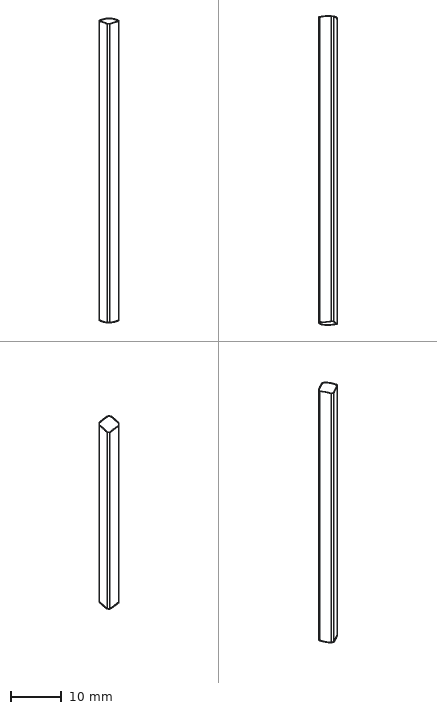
import cadquery as cq

length = 61.7
width = 3.15
corner_diameter = 3.95
end_face_diameter = 2.5
crown_radius = 2.0

bar = cq.Workplane("XY").rect(width, width).extrude(length / 2, both=True)

corner_radius = corner_diameter / 2
turned_blank = cq.Workplane("XY").circle(corner_radius).extrude(length / 2, both=True)

end_face_radius = end_face_diameter / 2
crowned_envelope = (
    cq.Workplane("XY")
    .circle(end_face_radius + crown_radius)
    .extrude(length / 2, both=True)
    .faces("<Z or >Z")
    .edges()
    .fillet(crown_radius)
)

result = bar.intersect(turned_blank).intersect(crowned_envelope)